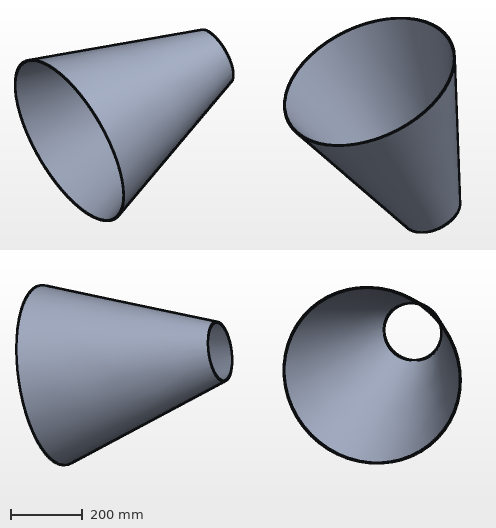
import cadquery as cq

length = 508.0
large_diameter = 506.0
small_diameter = 168.0
wall = 3.0

large_radius = large_diameter / 2
small_radius = small_diameter / 2
front_y = -length / 2
back_y = length / 2

wall_section = (
    cq.Workplane("XY")
    .moveTo(large_radius - wall, front_y)
    .lineTo(large_radius, front_y)
    .lineTo(small_radius, back_y)
    .lineTo(small_radius - wall, back_y)
    .close()
)

result = wall_section.revolve(360, (0, 0, 0), (0, 1, 0))